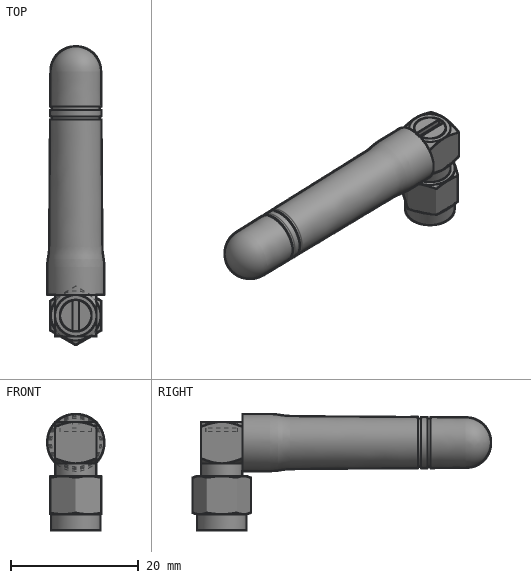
import cadquery as cq
import math


BLOCK_SIZE = 6.5
BLOCK_BEVEL_ANGLE = math.radians(30)
NECK_LENGTH = 2.0
HEX_ACROSS_FLATS = 8.0
HEX_HEIGHT = 6.0
HEX_FACE_DIAMETER = 7.8
HEX_BEVEL_ANGLE = math.radians(20)
COLLAR_DIAMETER = 7.8
COLLAR_LENGTH = 2.5
EDGE_ROUND = 0.05

SCREW_HOLE_DIAMETER = 5.0
SCREW_GAP = 0.05
SCREW_LENGTH = 1.5
SLOT_WIDTH = 1.0
SLOT_DEPTH = 1.0

WHIP_LENGTH = 39.0
TIP_RADIUS = 4.0
TAPER_END_RADIUS = 4.2
BASE_RADIUS = 4.5
BASE_LENGTH = 4.98
FLARE_LENGTH = 1.9
FLARE_ROUND = 8.0
RIM_ROUND = 0.1
GROOVE_COUNT = 2
GROOVE_DEPTH = 0.2
GROOVE_WIDTH = 0.5
GROOVE_PITCH = 1.5
FIRST_GROOVE_FROM_TIP = 9.5

SELECTION_MARGIN = 0.1

block_half = BLOCK_SIZE / 2
block_corner_radius = block_half * math.sqrt(2)
whip_tip_y = block_half + WHIP_LENGTH
hex_top_z = -block_half - NECK_LENGTH
hex_bottom_z = hex_top_z - HEX_HEIGHT
hex_corner_radius = HEX_ACROSS_FLATS / math.sqrt(3)


def bevelled_blank(face_radius, corner_radius, bottom_z, top_z, bevel_angle):
    """Round blank with sloping rims; a prism intersected with it gets bevelled corners."""
    drop = (corner_radius - face_radius) * math.tan(bevel_angle)
    return (
        cq.Workplane("XZ")
        .moveTo(0, bottom_z)
        .lineTo(face_radius, bottom_z)
        .lineTo(corner_radius, bottom_z + drop)
        .lineTo(corner_radius, top_z - drop)
        .lineTo(face_radius, top_z)
        .lineTo(0, top_z)
        .close()
        .revolve(360, (0, 0, 0), (0, 1, 0))
    )


def round_circles_between(body, low_y, high_y, radius):
    """Fillet the circular edges of a turned body that lie between two places along Y."""
    reach = 2 * BASE_RADIUS
    band = cq.selectors.BoxSelector(
        (-reach, low_y - SELECTION_MARGIN, -reach),
        (reach, high_y + SELECTION_MARGIN, reach),
    )
    return body.edges(band).edges("%CIRCLE").fillet(radius)


def make_whip():
    """Round antenna cover: dome tip, slight taper, grooves and an S-shaped flare to the base."""
    dome_y = whip_tip_y - TIP_RADIUS
    dome_mid = TIP_RADIUS * math.sqrt(0.5)
    flare_base_y = block_half + BASE_LENGTH
    flare_tip_y = flare_base_y + FLARE_LENGTH
    whip = (
        cq.Workplane("XY")
        .moveTo(0, block_half)
        .lineTo(BASE_RADIUS, block_half)
        .lineTo(BASE_RADIUS, flare_base_y)
        .lineTo(TAPER_END_RADIUS, flare_tip_y)
        .lineTo(TIP_RADIUS, dome_y)
        .threePointArc((dome_mid, dome_y + dome_mid), (0, whip_tip_y))
        .close()
        .revolve(360, (0, 0, 0), (0, 1, 0))
    )
    whip = round_circles_between(whip, flare_base_y, flare_tip_y, FLARE_ROUND)
    whip = round_circles_between(whip, block_half, block_half, RIM_ROUND)
    for index in range(GROOVE_COUNT):
        groove_y = whip_tip_y - FIRST_GROOVE_FROM_TIP - index * GROOVE_PITCH
        ring = (
            cq.Workplane("XZ", origin=(0, groove_y, 0))
            .circle(BASE_RADIUS)
            .circle(TIP_RADIUS - GROOVE_DEPTH)
            .extrude(GROOVE_WIDTH)
        )
        whip = whip.cut(ring)
        whip = round_circles_between(whip, groove_y - GROOVE_WIDTH, groove_y, RIM_ROUND)
    return whip


def disc_down(diameter, top_z, length):
    """Disc on the connector axis reaching down from a given height."""
    return cq.Workplane("XY", origin=(0, 0, top_z)).circle(diameter / 2).extrude(-length)


def make_connector():
    """Elbow block with the screw hole on top, and the neck, hexagon and collar below it."""
    block = cq.Workplane("XY").box(BLOCK_SIZE, BLOCK_SIZE, BLOCK_SIZE).edges("|Z").fillet(EDGE_ROUND)
    block = block.intersect(
        bevelled_blank(block_half, block_corner_radius, -block_half, block_half, BLOCK_BEVEL_ANGLE)
    )
    block = block.cut(disc_down(SCREW_HOLE_DIAMETER, block_half, SCREW_LENGTH))

    hexagon = (
        cq.Workplane("XY", origin=(0, 0, hex_bottom_z))
        .polygon(6, 2 * hex_corner_radius)
        .extrude(HEX_HEIGHT)
        .edges("|Z")
        .fillet(EDGE_ROUND)
        .rotate((0, 0, 0), (0, 0, 1), 90)
    )
    hexagon = hexagon.intersect(
        bevelled_blank(
            HEX_FACE_DIAMETER / 2, hex_corner_radius, hex_bottom_z, hex_top_z, HEX_BEVEL_ANGLE
        )
    )
    neck = disc_down(BLOCK_SIZE, -block_half, NECK_LENGTH)
    collar = disc_down(COLLAR_DIAMETER, hex_bottom_z, COLLAR_LENGTH)
    return block.union(neck).union(hexagon).union(collar)


def make_screw():
    """Plug flush with the block top, a hairline smaller than its hole, slotted right across."""
    plug = disc_down(SCREW_HOLE_DIAMETER - 2 * SCREW_GAP, block_half, SCREW_LENGTH)
    slot = (
        cq.Workplane("XY", origin=(0, 0, block_half))
        .rect(SLOT_WIDTH, SCREW_HOLE_DIAMETER)
        .extrude(-SLOT_DEPTH)
    )
    return plug.cut(slot)


whip = make_whip()
connector = make_connector()
screw = make_screw()

result = cq.Compound.makeCompound(
    [whip.solids().val(), connector.solids().val(), screw.solids().val()]
)